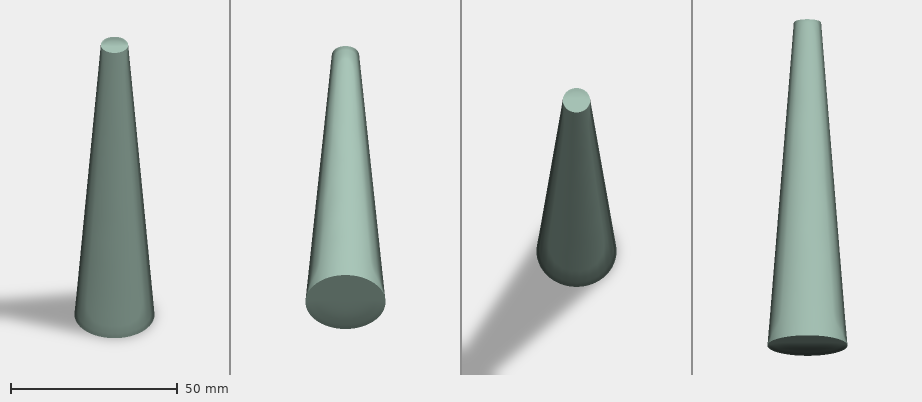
import cadquery as cq

height = 100
base_diameter = 24
tip_diameter = 8.2

profile = [
    (0, 0),
    (-base_diameter / 2, 0),
    (-tip_diameter / 2, height),
    (0, height),
]
result = cq.Workplane("XZ").polyline(profile).close().revolve(360, (0, 0), (0, 1))